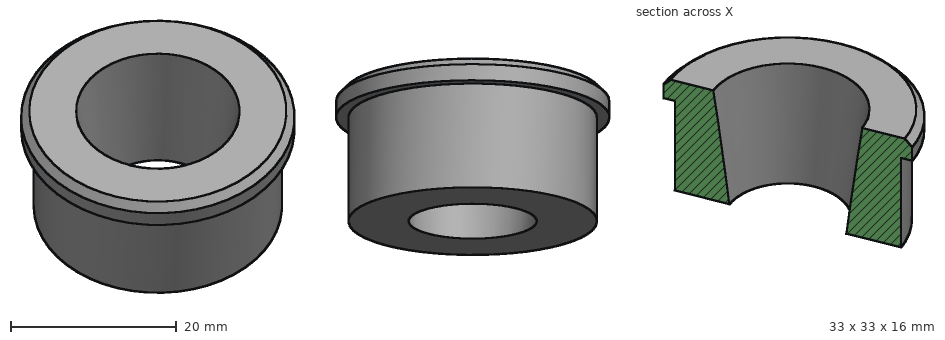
import cadquery as cq

flange_diameter = 33.0
body_diameter = 30.0
total_height = 16.0
flange_height = 3.0
rim_chamfer = 1.0

mouth_diameter = 19.7
throat_diameter = 15.45

flange_radius = flange_diameter / 2
body_radius = body_diameter / 2
mouth_radius = mouth_diameter / 2
throat_radius = throat_diameter / 2
flange_bottom = total_height - flange_height

half_section = (
    cq.Workplane("XZ")
    .moveTo(throat_radius, 0)
    .lineTo(body_radius, 0)
    .lineTo(body_radius, flange_bottom)
    .lineTo(flange_radius, flange_bottom)
    .lineTo(flange_radius, total_height - rim_chamfer)
    .lineTo(flange_radius - rim_chamfer, total_height)
    .lineTo(mouth_radius, total_height)
    .close()
)

result = half_section.revolve(360, (0, 0, 0), (0, 1, 0))